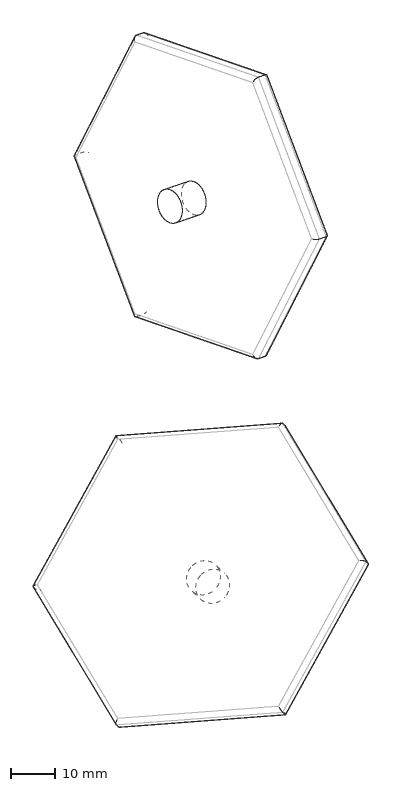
import cadquery as cq

corner_to_corner = 77.95
plate_thickness = 4.45
edge_radius = 1.2

total_depth = 12.0
pin_diameter = 7.95
pin_length = total_depth - plate_thickness


def make_plate():
    """Hexagon from Y = 0 back to the plate thickness, rounded around both faces."""
    plate = (
        cq.Workplane("XZ")
        .polygon(6, corner_to_corner)
        .extrude(-plate_thickness)
    )
    return plate.faces("<Y or >Y").edges().fillet(edge_radius)


def make_pin():
    """Pin reaching forward from the front face at Y = 0."""
    return cq.Workplane("XZ").circle(pin_diameter / 2).extrude(pin_length)


result = make_plate().union(make_pin())